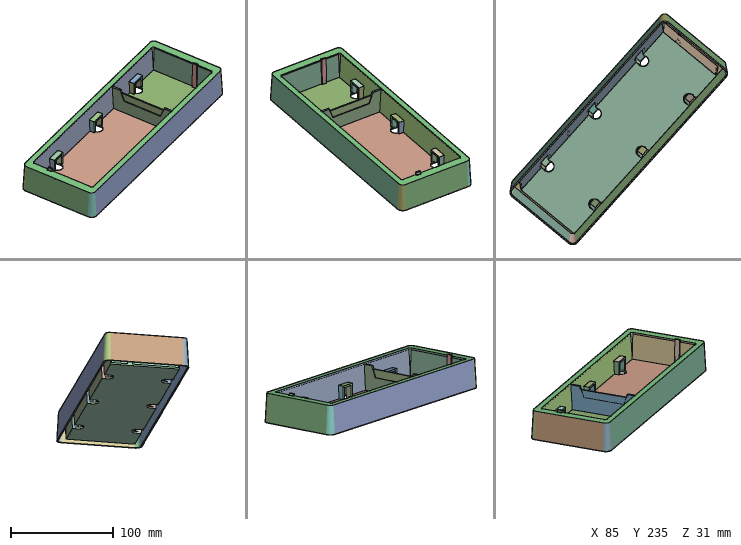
import cadquery as cq
import math

LENGTH = 235.0
WIDTH = 85.0
BODY_HEIGHT = 29.6
CORNER_RADIUS = 6.0
OUTER_DRAFT_INSET = 1.6
OUTER_WALL = 1.5
RIM_THICKNESS = 2.0

TRAY_WIDTH = 70.0
TRAY_LENGTH = 214.6
TRAY_DRAFT_INSET = 1.6
TRAY_WALL = 1.0
FLOOR_THICKNESS = 2.0
TRAY_DEPTH = BODY_HEIGHT - FLOOR_THICKNESS
TRAY_FLOOR_WIDTH = TRAY_WIDTH - 2 * TRAY_DRAFT_INSET
TRAY_FLOOR_LENGTH = TRAY_LENGTH - 2 * TRAY_DRAFT_INSET

OUTER_DRAFT = math.degrees(math.atan(OUTER_DRAFT_INSET / BODY_HEIGHT))
TRAY_DRAFT = math.degrees(math.atan(TRAY_DRAFT_INSET / TRAY_DEPTH))

CLIP_PITCH = 71.0
CLIP_LENGTH = 15.0
CLIP_HEIGHT = 13.6
CLIP_LEG = 2.4
CLIP_BRIDGE = 2.0
CLIP_FACE_X = 28.5
CLIP_OPENING = CLIP_LENGTH - 2 * CLIP_LEG
CLIP_HOLE_X = 29.6
CLIP_HOLE_RADIUS = 5.5

DIVIDER_Y = CLIP_PITCH / 2
DIVIDER_THICKNESS = 2.0
BACK_PLATE_THICKNESS = 1.2
DIVIDER_TOP_Z = 28.0
NOTCH_TOP_HALF_WIDTH = 25.6
NOTCH_SIDE_SLOPE = 0.38
FRONT_NOTCH_DEPTH = 11.5
BACK_NOTCH_DEPTH = 3.3

LATCH_X = 15.0
LATCH_WIDTH = 5.0
LATCH_TOP_Z = 31.0
LATCH_FACE_Y = 105.3
LATCH_FOOT_Y = 104.5
LATCH_TIP_THICKNESS = 1.5
RELIEF_DEPTH = 1.5
RELIEF_OUTER_Y = 108.9
RELIEF_CHAMFER = 0.7


def tapered_block(width, length, bottom_z, height, draft, radius=0.0):
    """Block centred on the Z axis; a positive draft narrows it upwards."""
    outline = cq.Sketch().rect(width, length)
    if radius:
        outline = outline.vertices().fillet(radius)
    return cq.Workplane().workplane(offset=bottom_z).placeSketch(outline).extrude(height, taper=draft)


def hollow_shell():
    shell = tapered_block(WIDTH, LENGTH, 0, BODY_HEIGHT, OUTER_DRAFT, CORNER_RADIUS)
    hollow = tapered_block(
        WIDTH - 2 * OUTER_WALL,
        LENGTH - 2 * OUTER_WALL,
        0,
        BODY_HEIGHT - RIM_THICKNESS,
        OUTER_DRAFT,
        CORNER_RADIUS - OUTER_WALL,
    )
    tray_skin = tapered_block(
        TRAY_FLOOR_WIDTH + 2 * TRAY_WALL,
        TRAY_FLOOR_LENGTH + 2 * TRAY_WALL,
        0,
        BODY_HEIGHT,
        -TRAY_DRAFT,
    )
    tray_space = tapered_block(
        TRAY_FLOOR_WIDTH, TRAY_FLOOR_LENGTH, FLOOR_THICKNESS, TRAY_DEPTH, -TRAY_DRAFT
    )
    return shell.cut(hollow.cut(tray_skin)).cut(tray_space)


def divider_plate(notch_depth, front_y, thickness):
    """Plate across the tray with a sloped-sided notch in its top edge."""
    foot_x = (TRAY_FLOOR_WIDTH + TRAY_WALL) / 2
    top_x = (TRAY_WIDTH + TRAY_WALL) / 2
    notch_floor_x = NOTCH_TOP_HALF_WIDTH - NOTCH_SIDE_SLOPE * notch_depth
    notch_floor_z = DIVIDER_TOP_Z - notch_depth
    right_side = [
        (foot_x, FLOOR_THICKNESS / 2),
        (top_x, DIVIDER_TOP_Z),
        (NOTCH_TOP_HALF_WIDTH, DIVIDER_TOP_Z),
        (notch_floor_x, notch_floor_z),
    ]
    left_side = [(-x, z) for x, z in reversed(right_side)]
    plate = cq.Workplane("XZ", origin=(0, front_y, 0)).polyline(right_side + left_side).close()
    return plate.extrude(-thickness)


def divider():
    front_y = DIVIDER_Y - DIVIDER_THICKNESS / 2
    back_y = front_y + DIVIDER_THICKNESS - BACK_PLATE_THICKNESS
    front = divider_plate(FRONT_NOTCH_DEPTH, front_y, DIVIDER_THICKNESS)
    back = divider_plate(BACK_NOTCH_DEPTH, back_y, BACK_PLATE_THICKNESS)
    return front.union(back)


def box_between(x_range, y_range, z_range):
    (x0, x1), (y0, y1), (z0, z1) = x_range, y_range, z_range
    return cq.Workplane(origin=(x0, y0, z0)).box(x1 - x0, y1 - y0, z1 - z0, centered=False)


def clip_block(y):
    """Solid clip on the +X wall, before its opening is cut."""
    wall_x = TRAY_FLOOR_WIDTH / 2 + TRAY_WALL
    top_z = FLOOR_THICKNESS + CLIP_HEIGHT
    return box_between((CLIP_FACE_X, wall_x), (y - CLIP_LENGTH / 2, y + CLIP_LENGTH / 2), (0, top_z))


def clip_opening(y):
    """Opening under the clip, through the tray wall, joined to the round hole in the floor."""
    outer_x = TRAY_WIDTH / 2 + TRAY_WALL
    top_z = FLOOR_THICKNESS + CLIP_HEIGHT - CLIP_BRIDGE
    half = CLIP_OPENING / 2
    arch = box_between((CLIP_FACE_X, outer_x), (y - half, y + half), (0, top_z))
    hole = cq.Workplane(origin=(CLIP_HOLE_X, y, 0)).circle(CLIP_HOLE_RADIUS).extrude(FLOOR_THICKNESS)
    return arch.union(hole)


def latch():
    """Rib on the +Y end wall with a tip that rises above the rim."""
    wall_y = (TRAY_FLOOR_LENGTH + TRAY_WALL) / 2
    tip_back_y = LATCH_FACE_Y + LATCH_TIP_THICKNESS
    profile = [
        (LATCH_FOOT_Y, FLOOR_THICKNESS / 2),
        (LATCH_FACE_Y, LATCH_TOP_Z),
        (tip_back_y, LATCH_TOP_Z),
        (tip_back_y, BODY_HEIGHT - RELIEF_DEPTH),
        (wall_y, FLOOR_THICKNESS / 2),
    ]
    start_x = LATCH_X - LATCH_WIDTH / 2
    return cq.Workplane("YZ", origin=(start_x, 0, 0)).polyline(profile).close().extrude(LATCH_WIDTH)


def latch_relief():
    """Shallow pocket in the rim behind the latch tip, with chamfered outer corners."""
    inner_y = LATCH_FACE_Y + LATCH_TIP_THICKNESS
    pocket = box_between(
        (LATCH_X - LATCH_WIDTH / 2, LATCH_X + LATCH_WIDTH / 2),
        (inner_y, RELIEF_OUTER_Y),
        (BODY_HEIGHT - RELIEF_DEPTH, BODY_HEIGHT),
    )
    return pocket.edges("|Z and >Y").chamfer(RELIEF_CHAMFER)


def turned(shape):
    """The same shape rotated half a turn about the Z axis."""
    return shape.rotate((0, 0, 0), (0, 0, 1), 180)


result = hollow_shell().union(divider())
for clip_y in (-CLIP_PITCH, 0, CLIP_PITCH):
    block = clip_block(clip_y)
    opening = clip_opening(clip_y)
    result = result.union(block).union(turned(block)).cut(opening).cut(turned(opening))

rib = latch()
relief = latch_relief()
result = result.cut(relief).cut(turned(relief)).union(rib).union(turned(rib))